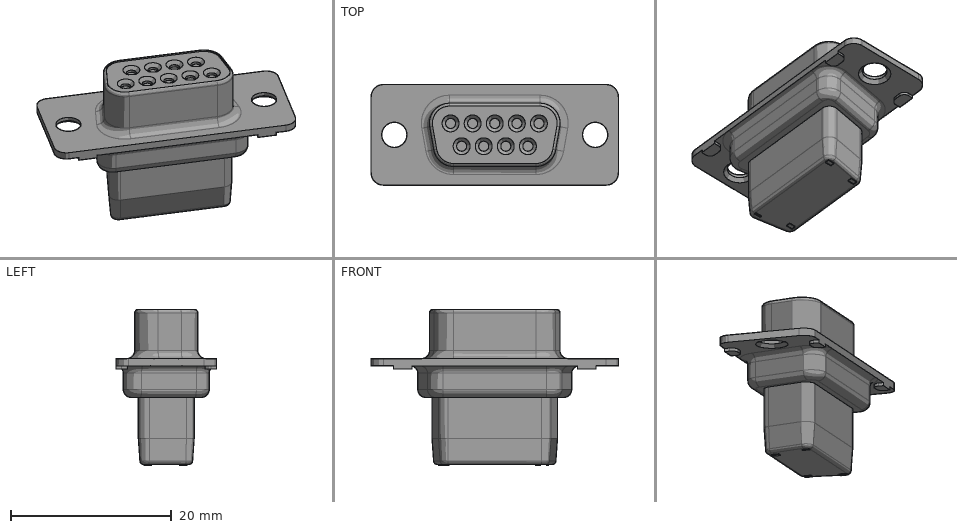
import cadquery as cq
import math



flange_length = 30.81
flange_width = 12.55
flange_thickness = 0.93
flange_corner_radius = 1.55
mount_hole_diameter = 3.1
mount_hole_spacing = 25.0
mount_hole_countersink = 0.46

foot_width = 2.34
foot_depth = 1.48
foot_height = 0.39
foot_corner_radius = 0.8
foot_spacing = 22.88

side_angle = 10.0

shell_height = 6.13
shell_half_width = 3.94
shell_corner_radius = 2.5
shell_mid_corner_x = 5.38
shell_flare_radius = 1.0
shell_top_radius = 0.48
rim_width = 0.37
face_recess = 0.2

hood_bottom_z = -4.86
hood_half_width = 5.36
hood_corner_radius = 1.95
hood_mid_corner_x = 7.05
hood_flare_radius = 0.9
hood_bottom_radius = 1.03

plug_taper_top_z = -9.93
plug_bottom_z = -13.2
plug_half_width = 3.49
plug_corner_radius = 1.2
plug_mid_corner_x = 6.22
plug_draft = 4.0
plug_bottom_radius = 0.48

contact_pitch = 2.75
contact_row_spacing = 2.84
upper_row_count = 5
lower_row_count = 4
contact_diameter = 1.25
contact_mouth_diameter = 2.1
contact_depth = 0.75

pad_height = 0.093
pad_width = 0.93
pad_root = 0.2
upper_pad_y = 2.3
lower_pad_y = -2.13
marker_pads = [
    (-6.7, upper_pad_y, 0.6),
    (6.58, upper_pad_y, 0.25),
    (-6.0, lower_pad_y, 0.6),
    (5.4, lower_pad_y, 0.6),
]


def d_outline(z, half_width, mid_corner_x, corner_radius):
    """Rounded D outline at height z: its corner centres, grown by the corner radius."""
    corner_y = half_width - corner_radius
    lean = corner_y * math.tan(math.radians(side_angle))
    wide_x = mid_corner_x + lean
    narrow_x = mid_corner_x - lean
    centres = [
        (-wide_x, corner_y),
        (wide_x, corner_y),
        (narrow_x, -corner_y),
        (-narrow_x, -corner_y),
    ]
    return cq.Workplane().workplane(offset=z).polyline(centres).close().offset2D(corner_radius)


def junction_edges(z):
    """Selector for the edges at height z whose centres lie inside the flange outline."""
    tolerance = 0.01
    half_x = (flange_length - flange_corner_radius) / 2
    half_y = (flange_width - flange_corner_radius) / 2
    return cq.selectors.BoxSelector(
        (-half_x, -half_y, z - tolerance), (half_x, half_y, z + tolerance)
    )


def make_flange():
    plate = cq.Workplane().box(
        flange_length, flange_width, flange_thickness, centered=(True, True, False)
    )
    plate = plate.edges("|Z").fillet(flange_corner_radius)
    return plate.translate((0, 0, -flange_thickness))


def add_shell(body):
    shell = d_outline(
        -flange_thickness, shell_half_width, shell_mid_corner_x, shell_corner_radius
    ).extrude(flange_thickness + shell_height)
    shell = shell.faces(">Z").edges().fillet(shell_top_radius)
    body = body.union(shell)
    flare_edges = junction_edges(0)
    return body.edges(flare_edges).fillet(shell_flare_radius)


def add_hood(body):
    hood = d_outline(
        hood_bottom_z, hood_half_width, hood_mid_corner_x, hood_corner_radius
    ).extrude(-hood_bottom_z)
    hood = hood.faces("<Z").edges().fillet(hood_bottom_radius)
    body = body.union(hood)
    flare_edges = junction_edges(-flange_thickness)
    return body.edges(flare_edges).fillet(hood_flare_radius)


def make_plug():
    straight = d_outline(
        plug_taper_top_z, plug_half_width, plug_mid_corner_x, plug_corner_radius
    ).extrude(-plug_taper_top_z)
    drafted = d_outline(
        plug_taper_top_z, plug_half_width, plug_mid_corner_x, plug_corner_radius
    ).extrude(plug_bottom_z - plug_taper_top_z, taper=plug_draft)
    drafted = drafted.faces("<Z").edges().fillet(plug_bottom_radius)
    return straight.union(drafted)


def make_feet():
    """Four feet flush with the long flange edges, rounded at their inner corners."""
    feet = cq.Workplane()
    foot_y = (flange_width - foot_depth) / 2
    for side in (-1, 1):
        foot = cq.Workplane().box(foot_width, foot_depth, foot_height + flange_thickness)
        inner_edges = "|Z and <Y" if side > 0 else "|Z and >Y"
        foot = foot.edges(inner_edges).fillet(foot_corner_radius)
        foot_z = -(foot_height + flange_thickness) / 2
        for end in (-1, 1):
            feet = feet.add(foot.translate((end * foot_spacing / 2, side * foot_y, foot_z)))
    return feet.combine()


def make_marker_pads():
    pads = cq.Workplane()
    for x, y, length in marker_pads:
        pad = cq.Workplane().box(length, pad_width, pad_height + pad_root)
        pads = pads.add(pad.translate((x, y, plug_bottom_z + (pad_root - pad_height) / 2)))
    return pads.combine()


def make_face_recess():
    return d_outline(
        shell_height - face_recess,
        shell_half_width - rim_width,
        shell_mid_corner_x,
        shell_corner_radius - rim_width,
    ).extrude(face_recess)


def contact_positions():
    positions = []
    for count, side in ((upper_row_count, 1), (lower_row_count, -1)):
        for index in range(count):
            x = (index - (count - 1) / 2) * contact_pitch
            positions.append((x, side * contact_row_spacing / 2))
    return positions


def make_contact_holes():
    """Blind holes with 45 degree conical mouths, opening on the recessed face."""
    mouth_depth = (contact_mouth_diameter - contact_diameter) / 2
    profile = [
        (0, 0),
        (contact_mouth_diameter / 2, 0),
        (contact_diameter / 2, -mouth_depth),
        (contact_diameter / 2, -contact_depth),
        (0, -contact_depth),
    ]
    hole = cq.Workplane("XZ").polyline(profile).close().revolve(360, (0, 0), (0, 1))
    holes = cq.Workplane()
    for x, y in contact_positions():
        holes = holes.add(hole.translate((x, y, shell_height - face_recess)))
    return holes.combine()


def make_mount_holes():
    """Holes through the flange with 45 degree countersinks on its underside."""
    radius = mount_hole_diameter / 2
    profile = [
        (0, 0),
        (radius, 0),
        (radius, mount_hole_countersink - flange_thickness),
        (radius + mount_hole_countersink, -flange_thickness),
        (0, -flange_thickness),
    ]
    hole = cq.Workplane("XZ").polyline(profile).close().revolve(360, (0, 0), (0, 1))
    holes = cq.Workplane()
    for end in (-1, 1):
        holes = holes.add(hole.translate((end * mount_hole_spacing / 2, 0, 0)))
    return holes.combine()


body = add_hood(add_shell(make_flange()))
body = body.union(make_plug()).union(make_feet()).union(make_marker_pads())
result = body.cut(make_mount_holes()).cut(make_face_recess()).cut(make_contact_holes())